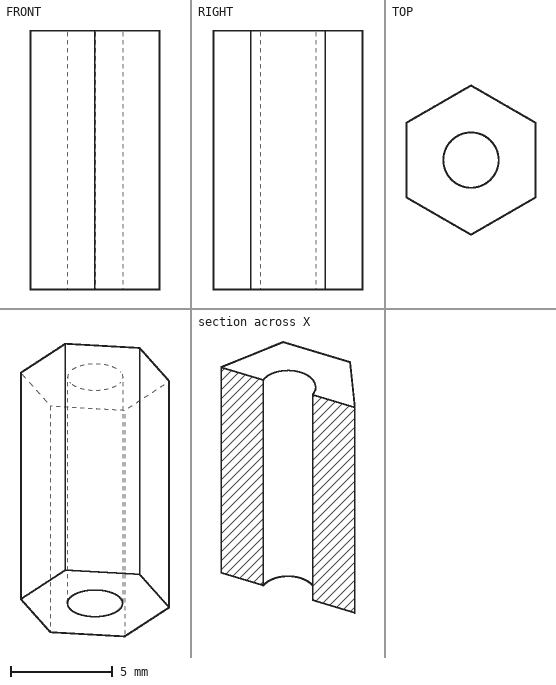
import cadquery as cq
import math

length = 12.7
across_flats = 6.35
bore_diameter = 2.7

across_corners = across_flats / math.cos(math.radians(30))

hexagon_body = (
    cq.Workplane("XY")
    .transformed(rotate=(0, 0, 90))
    .polygon(6, across_corners)
    .extrude(length)
)

result = hexagon_body.faces(">Z").workplane().hole(bore_diameter)